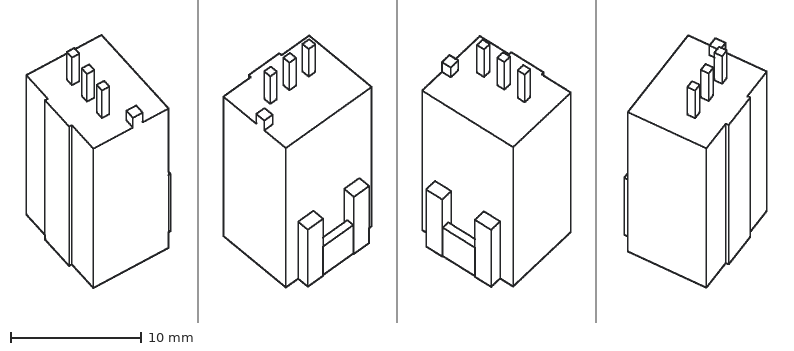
import cadquery as cq

overall_depth = 8.4
overall_height = 19.9

housing_width = 9.0
housing_height = 16.62

rib_width = 3.22
rib_depth = 0.25

lug_span = 6.43
lug_gap = rib_width
lug_depth = 1.1
lug_height = 6.8
bridge_thickness = 0.68
bridge_setback = 0.05
bridge_height = lug_height / 2

pin_count = 3
pin_pitch = 2.0
pin_side = 0.7
pin_row_from_back = 4.4

key_width = 0.88
key_depth = 0.92
key_height = 1.15
key_from_back = 2.89

housing_depth = overall_depth - rib_depth - lug_depth
pin_height = overall_height - housing_height
lug_width = (lug_span - lug_gap) / 2


def block(width, depth, height, center_x, center_y, base_z=0):
    """Upright box centred on the given X and Y, rising from base_z."""
    return (
        cq.Workplane("XY")
        .box(width, depth, height, centered=(True, True, False))
        .translate((center_x, center_y, base_z))
    )


def make_latch():
    lug_x = (lug_gap + lug_width) / 2
    lug_y = housing_depth + lug_depth / 2
    bridge_y = housing_depth + lug_depth - bridge_setback - bridge_thickness / 2
    latch = block(lug_gap, bridge_thickness, bridge_height, 0, bridge_y)
    for side in (-1, 1):
        latch = latch.union(block(lug_width, lug_depth, lug_height, side * lug_x, lug_y))
    return latch


housing = block(housing_width, housing_depth, housing_height, 0, housing_depth / 2)
rib = block(rib_width, rib_depth, housing_height, 0, -rib_depth / 2)

result = housing.union(rib).union(make_latch())

pin_y = housing_depth - pin_row_from_back
for index in range(pin_count):
    pin_x = (index - (pin_count - 1) / 2) * pin_pitch
    result = result.union(block(pin_side, pin_side, pin_height, pin_x, pin_y, housing_height))

key_x = (housing_width - key_width) / 2
key_y = housing_depth - key_from_back
result = result.union(block(key_width, key_depth, key_height, key_x, key_y, housing_height))